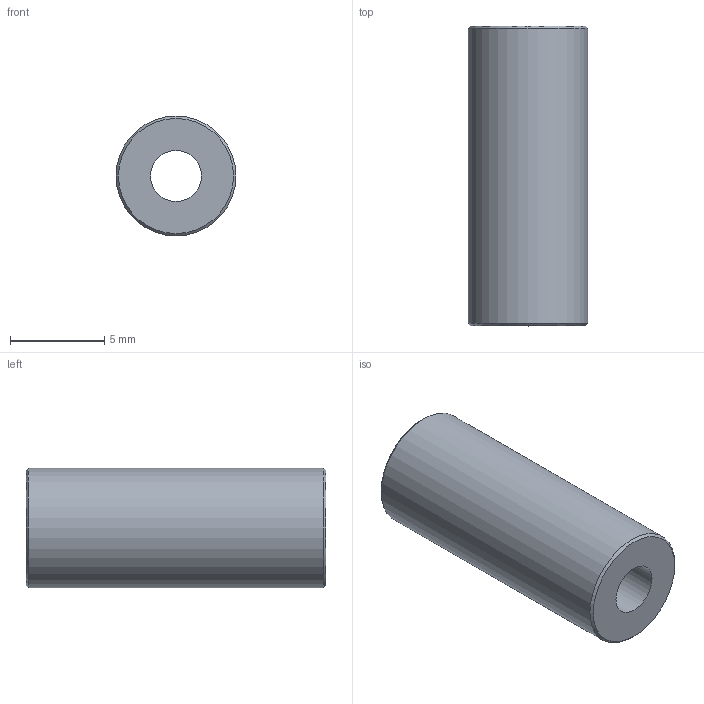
import cadquery as cq

outer_diameter = 6.35
length = 15.875
bore_diameter = 2.7
rim_chamfer = 0.127

outer_radius = outer_diameter / 2
bore_radius = bore_diameter / 2
half_length = length / 2


def wall_section():
    """Half section in the YZ plane: the wall from the bore to the chamfered outer surface."""
    chamfer_start_y = half_length - rim_chamfer
    end_face_radius = outer_radius - rim_chamfer
    return (
        cq.Workplane("YZ")
        .moveTo(-half_length, bore_radius)
        .lineTo(half_length, bore_radius)
        .lineTo(half_length, end_face_radius)
        .lineTo(chamfer_start_y, outer_radius)
        .lineTo(-chamfer_start_y, outer_radius)
        .lineTo(-half_length, end_face_radius)
        .close()
    )


def spacer():
    """Turn the wall section a full revolution about the Y axis."""
    axis_start = (0, 0)
    axis_end = (1, 0)
    return wall_section().revolve(360, axis_start, axis_end)


result = spacer()